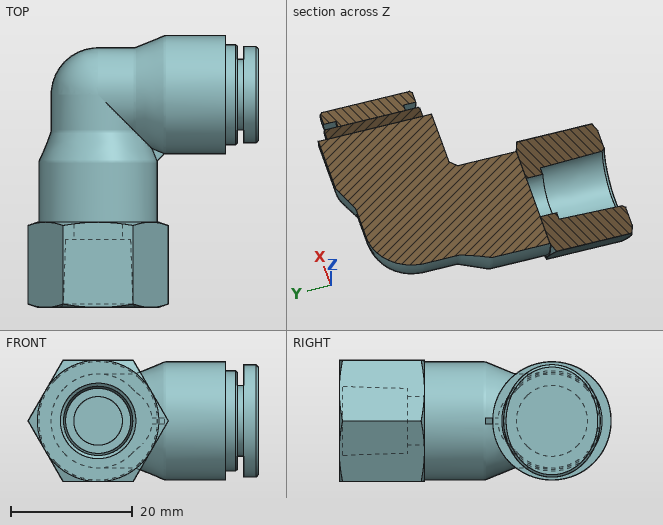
import cadquery as cq
import math

tube_d = 15.5
barrel_d = 19.5
cone_start = 6.1
cone_end = 11.0
arm_length = 21.0
blend_r = 1.0
web_inner = 6.7
web_near = 9.7
web_far = 10.9
web_thickness = 1.0

hex_flats = 20.0
hex_length = 14.0
hex_bevel_depth = 0.55
mouth_d = 12.45
bore_d = 11.4
bore_depth = 11.2
bore_taper = 1 / 16
passage_d = 8.0

ring_d = 16.5
ring_length = 1.92
ring_edge = 0.25

neck_d = 11.7
neck_length = 1.05
flange_width = 15.9
flange_height = 18.53
flange_thickness = 2.45
flange_edge = 0.4


def make_arm():
    """One arm along +X: slim tube, flare and barrel."""
    arm = (
        cq.Workplane("XY")
        .lineTo(0, tube_d / 2)
        .lineTo(cone_start, tube_d / 2)
        .lineTo(cone_end, barrel_d / 2)
        .lineTo(arm_length, barrel_d / 2)
        .lineTo(arm_length, 0)
        .close()
        .revolve(360, (0, 0, 0), (1, 0, 0))
    )
    flare_ends = cq.selectors.BoxSelector(
        (cone_start - blend_r, -barrel_d, -barrel_d),
        (cone_end + blend_r, barrel_d, barrel_d),
        boundingbox=True,
    )
    return arm.edges("%CIRCLE").edges(flare_ends).fillet(blend_r)


def make_elbow():
    """Two arms at a right angle, a ball at the corner and a thin web in the crook."""
    side_arm = make_arm()
    front_arm = make_arm().rotate((0, 0, 0), (0, 0, 1), -90)
    corner_ball = cq.Workplane("XY").sphere(tube_d / 2)
    web = (
        cq.Workplane("XY")
        .polyline([(web_inner, -web_inner), (web_near, -web_far), (web_far, -web_near)])
        .close()
        .extrude(web_thickness / 2, both=True)
    )
    return side_arm.union(front_arm).union(corner_ball).union(web)


def make_hex_socket():
    """Hexagonal socket from the front arm's end, bevelled on both ends, with a stepped bore."""
    inner_y = -arm_length
    outer_y = inner_y - hex_length
    corner_d = hex_flats / math.cos(math.pi / 6)
    prism = (
        cq.Workplane("XZ", origin=(0, inner_y, 0))
        .polygon(6, corner_d)
        .extrude(hex_length)
    )
    envelope = (
        cq.Workplane("XY")
        .moveTo(0, inner_y)
        .lineTo(hex_flats / 2, inner_y)
        .lineTo(corner_d / 2, inner_y - hex_bevel_depth)
        .lineTo(corner_d / 2, outer_y + hex_bevel_depth)
        .lineTo(hex_flats / 2, outer_y)
        .lineTo(0, outer_y)
        .close()
        .revolve(360, (0, 0, 0), (0, 1, 0))
    )
    lead_in = (mouth_d - bore_d) / 2
    bore_end_d = bore_d - bore_taper * bore_depth
    bore = (
        cq.Workplane("XY")
        .moveTo(0, outer_y)
        .lineTo(mouth_d / 2, outer_y)
        .lineTo(bore_d / 2, outer_y + lead_in)
        .lineTo(bore_end_d / 2, outer_y + bore_depth)
        .lineTo(passage_d / 2, outer_y + bore_depth)
        .lineTo(passage_d / 2, inner_y)
        .lineTo(0, inner_y)
        .close()
        .revolve(360, (0, 0, 0), (0, 1, 0))
    )
    return prism.intersect(envelope).cut(bore)


def make_ring():
    """Ring with a chamfered rim on the end face of the side arm."""
    return (
        cq.Workplane("YZ", origin=(arm_length, 0, 0))
        .circle(ring_d / 2)
        .extrude(ring_length)
        .faces(">X")
        .edges()
        .chamfer(ring_edge)
    )


def make_collar():
    """Neck standing on the ring, carrying the oval flange."""
    neck_x = arm_length + ring_length
    flange = (
        cq.Workplane("YZ", origin=(neck_x + neck_length, 0, 0))
        .ellipse(flange_width / 2, flange_height / 2)
        .extrude(flange_thickness)
        .faces(">X")
        .edges()
        .chamfer(flange_edge)
    )
    neck = cq.Workplane("YZ", origin=(neck_x, 0, 0)).circle(neck_d / 2).extrude(neck_length)
    return neck.union(flange)


elbow = make_elbow()
hex_socket = make_hex_socket()
ring = make_ring()
collar = make_collar()

result = cq.Compound.makeCompound([
    elbow.solids().val(),
    hex_socket.solids().val(),
    ring.solids().val(),
    collar.solids().val(),
])